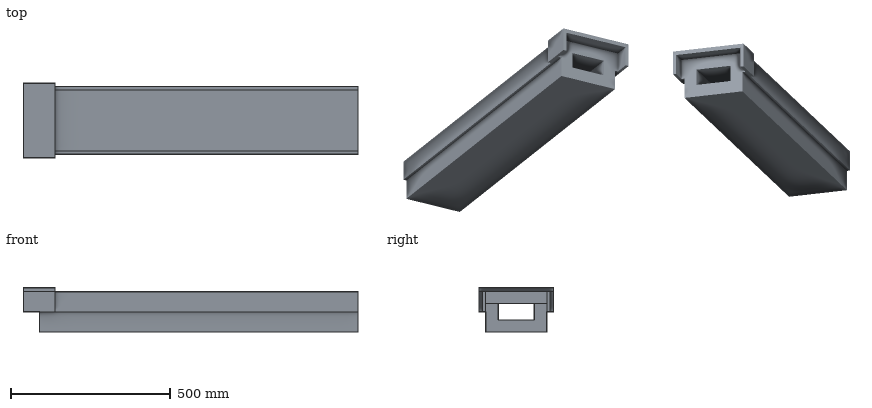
import cadquery as cq

TOTAL_LENGTH = 1050.0
TOTAL_WIDTH = 234.0
TOTAL_HEIGHT = 140.0

CAP_LENGTH = 100.0
CAP_OVERHANG = 50.0
CAP_PLATE_THICKNESS = 13.0

BOARD_THICKNESS = 10.0
BOARD_HEIGHT = 63.0
LID_HEIGHT = 38.0

WALL_THICKNESS = 40.0
POCKET_DEPTH = 50.0

DUCT_LENGTH = TOTAL_LENGTH - CAP_OVERHANG
DUCT_WIDTH = TOTAL_WIDTH - 4 * BOARD_THICKNESS
DUCT_TOP = TOTAL_HEIGHT - CAP_PLATE_THICKNESS
TROUGH_HEIGHT = DUCT_TOP - LID_HEIGHT
POCKET_WIDTH = DUCT_WIDTH - 2 * WALL_THICKNESS
BOARD_BOTTOM = DUCT_TOP - BOARD_HEIGHT
SIDE_BOARD_Y = (DUCT_WIDTH + BOARD_THICKNESS) / 2
CHEEK_Y = SIDE_BOARD_Y + BOARD_THICKNESS


def block(length, width, height, x_start, y_center, z_bottom):
    """Box that starts at x_start, rests on z_bottom and is centred on y_center."""
    return cq.Workplane("XY").box(
        length, width, height, centered=(False, True, False)
    ).translate((x_start, y_center, z_bottom))


def make_trough():
    """U-shaped trough, open at both ends and closed above by the lid."""
    body = block(DUCT_LENGTH, DUCT_WIDTH, TROUGH_HEIGHT, CAP_OVERHANG, 0, 0)
    pocket_floor = TROUGH_HEIGHT - POCKET_DEPTH
    pocket = block(DUCT_LENGTH, POCKET_WIDTH, POCKET_DEPTH, CAP_OVERHANG, 0, pocket_floor)
    return body.cut(pocket)


def make_lid():
    """Solid lid lying on the trough walls."""
    return block(DUCT_LENGTH, DUCT_WIDTH, LID_HEIGHT, CAP_OVERHANG, 0, TROUGH_HEIGHT)


def make_side_board(side):
    """Long board covering the joint between lid and trough; side is -1 or 1."""
    return block(
        DUCT_LENGTH, BOARD_THICKNESS, BOARD_HEIGHT, CAP_OVERHANG, side * SIDE_BOARD_Y, BOARD_BOTTOM
    )


def make_cap_cheek(side):
    """Short board outside a side board, carrying the cap plate; side is -1 or 1."""
    return block(CAP_LENGTH, BOARD_THICKNESS, BOARD_HEIGHT, 0, side * CHEEK_Y, BOARD_BOTTOM)


def make_cap_plate():
    """Plate across the top of the lid, side boards and cheeks."""
    return block(CAP_LENGTH, TOTAL_WIDTH, CAP_PLATE_THICKNESS, 0, 0, DUCT_TOP)


trough = make_trough()
lid = make_lid()
cap_plate = make_cap_plate()
side_boards = []
cap_cheeks = []
for side in (-1, 1):
    side_boards.append(make_side_board(side).val())
    cap_cheeks.append(make_cap_cheek(side).val())

result = cq.Compound.makeCompound(
    [trough.val(), lid.val(), *side_boards, cap_plate.val(), *cap_cheeks]
)